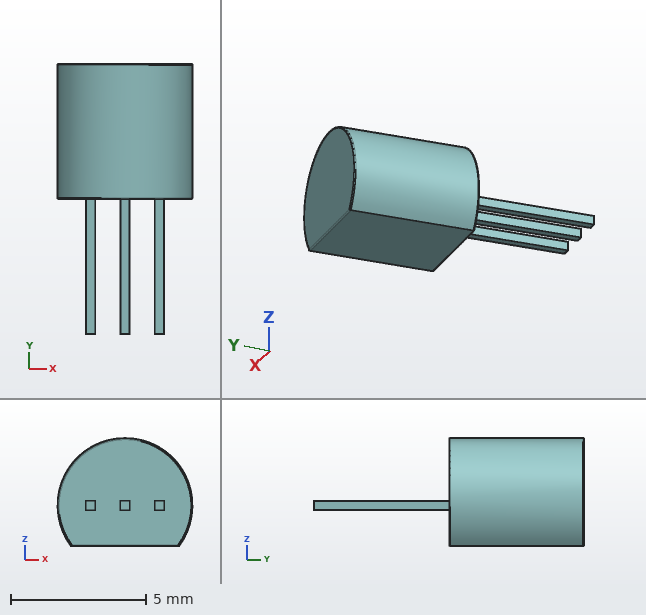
import cadquery as cq

body_diameter = 5.0
body_length = 5.0
flat_depth = 1.0
edge_fillet = 0.05

lead_count = 3
lead_pitch = 1.27
lead_width = 0.35
lead_length = 5.0

body_radius = body_diameter / 2
flat_z = flat_depth - body_radius


def make_body():
    """Cylinder from Y=0 to Y=body_length, flat underneath, end edges rounded."""
    flat_half_width = (body_radius**2 - flat_z**2) ** 0.5
    body = (
        cq.Workplane("XZ")
        .moveTo(-flat_half_width, flat_z)
        .threePointArc((0, body_radius), (flat_half_width, flat_z))
        .close()
        .extrude(-body_length)
    )
    return body.faces("<Y or >Y").edges().fillet(edge_fillet)


def make_leads():
    """Row of square leads centred on the cylinder axis, from Y=0 towards -Y."""
    return (
        cq.Workplane("XZ")
        .rarray(lead_pitch, 1, lead_count, 1)
        .rect(lead_width, lead_width)
        .extrude(lead_length)
    )


result = make_body().union(make_leads())